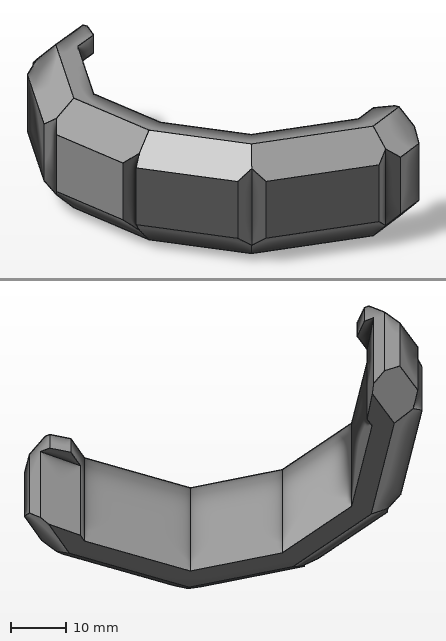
import cadquery as cq
import math

height = 22.0
wall = 9.15
bevel = 5.3
notch_depth = 2.0
outer_chamfer = (2.1, 2.0)
inner_chamfer = (2.9, 2.7)
relief = (4.85, 6.45)
tab_thickness = 3.6
notch_setback = 2.7
short_setback = 0.5

inner_path = [
    (11.0, 44.35),
    (8.9, 36.3),
    (17.4, 17.7),
    (32.4, 9.45),
    (49.7, 9.1),
    (66.5, 21.0),
    (68.35, 28.8),
]

short_notch_joint = 3


def direction(start, end):
    length = math.dist(start, end)
    return ((end[0] - start[0]) / length, (end[1] - start[1]) / length)


def step(point, heading, distance):
    return (point[0] + heading[0] * distance, point[1] + heading[1] * distance)


def offset_path(distance):
    """Move the inner path outward, keeping mitred joints and square ends."""
    headings = [direction(a, b) for a, b in zip(inner_path, inner_path[1:])]
    normals = [(y, -x) for x, y in headings]
    before = normals[:1] + normals
    after = normals + normals[-1:]
    points = []
    for point, n1, n2 in zip(inner_path, before, after):
        spread = 1 + n1[0] * n2[0] + n1[1] * n2[1]
        miter = ((n1[0] + n2[0]) / spread, (n1[1] + n2[1]) / spread)
        points.append(step(point, miter, distance))
    return points


outer_path = offset_path(wall)
ridge_path = offset_path(wall - bevel)
notch_path = offset_path(wall - notch_depth)


def slab(bottom_edge, top_edge, base, thickness):
    """Band between the inner path and an outer edge that may move with height."""
    return (
        cq.Workplane("XY", origin=(0, 0, base))
        .polyline(inner_path + bottom_edge[::-1]).close()
        .workplane(offset=thickness)
        .polyline(inner_path + top_edge[::-1]).close()
        .loft(ruled=True)
    )


def beveled_band():
    lower = slab(ridge_path, outer_path, 0, bevel)
    middle = slab(outer_path, outer_path, bevel, height - 2 * bevel)
    upper = slab(outer_path, ridge_path, height - bevel, bevel)
    return lower.union(middle).union(upper)


def notch_cutter(joint, next_setback):
    """V notch with its tip on the miter of the joint."""
    corner = outer_path[joint]
    tip = notch_path[joint]
    previous_mouth = step(corner, direction(corner, outer_path[joint - 1]), notch_setback)
    next_mouth = step(corner, direction(corner, outer_path[joint + 1]), next_setback)
    outline = [tip, previous_mouth, corner, next_mouth]
    return cq.Workplane("XY").polyline(outline).close().extrude(height)


def corner_cutter(corner, across, along, legs, cut_height):
    """Triangular prism on an end corner, standing on the base plane."""
    outline = [corner, step(corner, across, legs[0]), step(corner, along, legs[1])]
    return cq.Workplane("XY").polyline(outline).close().extrude(cut_height)


result = beveled_band()

for joint in range(1, len(inner_path) - 1):
    next_setback = short_setback if joint == short_notch_joint else notch_setback
    result = result.cut(notch_cutter(joint, next_setback))

for end, neighbour in ((0, 1), (-1, -2)):
    inner = inner_path[end]
    outer = outer_path[end]
    along = direction(inner, inner_path[neighbour])
    outward = direction(inner, outer)
    inward = direction(outer, inner)
    result = result.cut(corner_cutter(outer, inward, along, outer_chamfer, height))
    result = result.cut(corner_cutter(inner, outward, along, inner_chamfer, height))
    result = result.cut(corner_cutter(inner, outward, along, relief, height - tab_thickness))